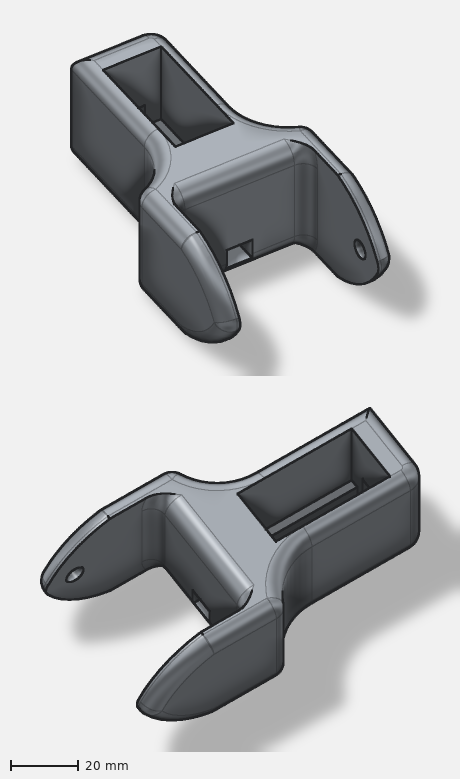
import cadquery as cq
import math

length = 110.0
width = 60.2
height = 39.8
half_height = height / 2
edge_radius = 5.0

handle_half_width = 15.1
handle_corner_radius = 6.0
flare_start_x = 41.3
flare_radius = 20.0
shoulder_radius = 5.0

arm_thickness = 6.0
slot_floor_x = 70.7
slot_floor_radius = 5.9
slot_corner_radius = 5.0
taper_start_x = 87.1
taper_radius = 36.1
tip_radius = 5.01

pocket_start_x = 10.0
pocket_end_x = 50.8
pocket_width = 20.2
channel_width = 14.3
channel_floor_z = 4.0 - half_height
channel_height = 7.4

passage_width = 9.0
window_height = 15.3

pivot_x = 99.7
pivot_diameter = 6.2
pivot_depth = 4.4

half_width = width / 2
slot_half_width = half_width - arm_thickness


def block(start_x, end_x, block_width, bottom_z, block_height):
    """Box centred on Y = 0, given by its X range, bottom and height."""
    return (
        cq.Workplane("XY", origin=(start_x, 0, bottom_z))
        .box(end_x - start_x, block_width, block_height, centered=(False, True, False))
    )


def plan_body():
    """Handle, flares and fork block, with the shoulders and one handle corner rounded."""
    flare_center_y = handle_half_width + flare_radius
    rise = flare_center_y - half_width
    flare_end_x = flare_start_x + math.sqrt(flare_radius**2 - rise**2)
    mid_x = flare_start_x + flare_radius * math.sin(math.pi / 6)
    mid_y = flare_center_y - flare_radius * math.cos(math.pi / 6)
    body = (
        cq.Workplane("XY", origin=(0, 0, -half_height))
        .moveTo(0, -handle_half_width)
        .lineTo(flare_start_x, -handle_half_width)
        .threePointArc((mid_x, -mid_y), (flare_end_x, -half_width))
        .lineTo(length, -half_width)
        .lineTo(length, half_width)
        .lineTo(flare_end_x, half_width)
        .threePointArc((mid_x, mid_y), (flare_start_x, handle_half_width))
        .lineTo(0, handle_half_width)
        .close()
        .extrude(height)
    )
    for side in (-1, 1):
        shoulder = cq.NearestToPointSelector((flare_end_x, side * half_width, 0))
        body = body.edges("|Z").edges(shoulder).fillet(shoulder_radius)
    corner = cq.NearestToPointSelector((0, handle_half_width, 0))
    return body.edges("|Z").edges(corner).fillet(handle_corner_radius)


def side_outline():
    """Side profile: straight to the taper, then two arcs into a round tip."""
    tip_x = length - tip_radius
    start_to_tip = math.hypot(tip_x - taper_start_x, half_height)
    tip_reach = taper_radius - tip_radius
    along = (taper_radius**2 - tip_reach**2 + start_to_tip**2) / (2 * start_to_tip)
    across = math.sqrt(taper_radius**2 - along**2)
    unit_x = (tip_x - taper_start_x) / start_to_tip
    unit_z = -half_height / start_to_tip
    center_x = taper_start_x + along * unit_x + across * unit_z
    center_z = half_height + along * unit_z - across * unit_x

    start_angle = math.atan2(half_height - center_z, taper_start_x - center_x)
    end_angle = math.atan2(-center_z, tip_x - center_x)

    def on_taper(angle):
        return (
            center_x + taper_radius * math.cos(angle),
            center_z + taper_radius * math.sin(angle),
        )

    mid_x, mid_z = on_taper((start_angle + end_angle) / 2)
    end_x, end_z = on_taper(end_angle)
    return (
        cq.Workplane("XZ")
        .moveTo(0, -half_height)
        .lineTo(taper_start_x, -half_height)
        .threePointArc((mid_x, -mid_z), (end_x, -end_z))
        .threePointArc((length, 0), (end_x, end_z))
        .threePointArc((mid_x, mid_z), (taper_start_x, half_height))
        .lineTo(0, half_height)
        .close()
        .extrude(half_width, both=True)
    )


def round_outer_edges(body):
    """Round the top and bottom rims and the tapered arm rims."""
    rim = body.faces("<Y or >Y or <X").edges("not |Z")
    return rim.fillet(edge_radius)


def fork_slot():
    """Cutter for the fork gap: it flares over the rounded floor rims and its corners are rounded."""
    flare_x = slot_floor_x - slot_floor_radius
    flare_z = half_height - slot_floor_radius
    arc_mid_x = flare_x + slot_floor_radius * math.cos(math.pi / 4)
    arc_mid_z = flare_z + slot_floor_radius * math.sin(math.pi / 4)
    lead_in_x = flare_x - slot_floor_radius
    far_x = length + slot_floor_radius
    cutter = (
        cq.Workplane("XZ")
        .moveTo(lead_in_x, -height)
        .lineTo(lead_in_x, -half_height)
        .lineTo(flare_x, -half_height)
        .threePointArc((arc_mid_x, -arc_mid_z), (slot_floor_x, -flare_z))
        .lineTo(slot_floor_x, flare_z)
        .threePointArc((arc_mid_x, arc_mid_z), (flare_x, half_height))
        .lineTo(lead_in_x, half_height)
        .lineTo(lead_in_x, height)
        .lineTo(far_x, height)
        .lineTo(far_x, -height)
        .close()
        .extrude(slot_half_width, both=True)
    )
    for side in (-1, 1):
        floor_edge = cq.NearestToPointSelector((slot_floor_x, side * slot_half_width, 0))
        cutter = cutter.edges("|Z").edges(floor_edge).fillet(slot_corner_radius)
    return cutter


def pocket():
    ledge_z = channel_floor_z + channel_height
    upper = block(pocket_start_x, pocket_end_x, pocket_width, ledge_z, height)
    lower = block(pocket_start_x, pocket_end_x, channel_width, channel_floor_z, channel_height)
    return upper.union(lower)


def end_window():
    return block(0, pocket_start_x, passage_width, channel_floor_z, window_height)


def fork_passage():
    return block(pocket_end_x, slot_floor_x, passage_width, channel_floor_z, channel_height)


def pivot_holes():
    pin_length = 2 * (slot_half_width + pivot_depth)
    return (
        cq.Workplane("XZ")
        .center(pivot_x, 0)
        .circle(pivot_diameter / 2)
        .extrude(pin_length / 2, both=True)
    )


body = round_outer_edges(plan_body().intersect(side_outline()))
for cutter in (fork_slot(), pocket(), end_window(), fork_passage(), pivot_holes()):
    body = body.cut(cutter)
result = body